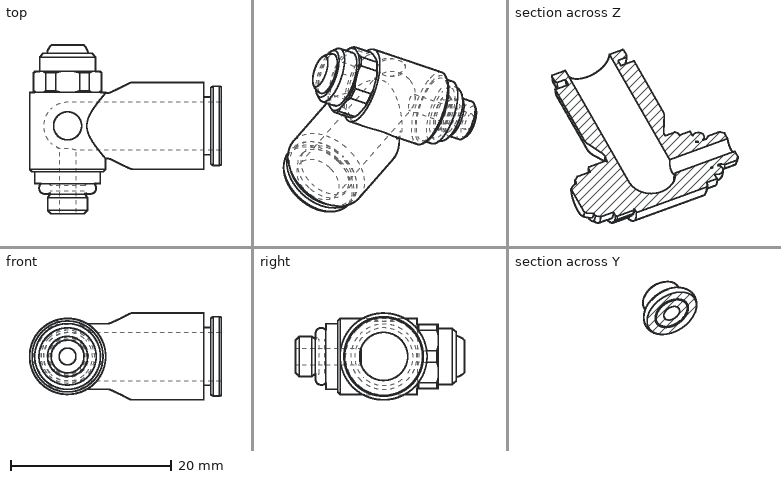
import cadquery as cq
import math

STEM_FRONT = -10.98
BODY_RADIUS = 4.75
BODY_BACK = 4.18
BODY_FRONT = -5.74
BODY_CHAMFER = 0.32
COLLAR_RADIUS = 4.1
COLLAR_FRONT = -7.2

RING_CENTRE = -7.76
RING_SECTION_RADIUS = 0.74
RING_OUTER_RADIUS = 3.57
SPIGOT_RADIUS = 2.5
SPIGOT_CHAMFER = 0.45
SPIGOT_BACK = -8.97
NECK_RADIUS = 2.17
NECK_FRONT = RING_CENTRE - RING_SECTION_RADIUS

HEX_ACROSS_FLATS = 8.0
HEX_CORNER_RADIUS = 4.27
HEX_BACK = 6.78
HEX_CHAMFER = 0.18
CAP_RADIUS = 3.5
CAP_BACK = 9.07
CAP_CHAMFER_LENGTH = 0.54
CAP_CHAMFER_DEPTH = 0.45
TIP_BASE_RADIUS = 2.58
TIP_SHOULDER_RADIUS = 2.5
TIP_SHOULDER = 9.38
TIP_EDGE_RADIUS = 2.25
TIP_EDGE = 9.84
TIP_END_RADIUS = 2.0
TIP_END = 10.08

BRANCH_NECK_RADIUS = 4.1
NECK_END = 5.2
SOCKET_RADIUS = 5.425
SOCKET_START = 7.9
SOCKET_END = 17.0
CONE_BLEND_RADIUS = 1.0
SLEEVE_RADIUS = 3.62
BUTTON_RADIUS = 4.96
BUTTON_START = 17.83
BUTTON_INNER_CHAMFER_LENGTH = 0.3
BUTTON_INNER_CHAMFER_DEPTH = 0.2
BUTTON_OUTER_CHAMFER_LENGTH = 0.25
BUTTON_OUTER_CHAMFER_DEPTH = 0.1
BRANCH_END = 19.18

INLET_RADIUS = 1.05
PASSAGE_RADIUS = 3.0

RECESS_RADIUS = 1.75
RECESS_FLOOR = math.sqrt(BODY_RADIUS**2 - RECESS_RADIUS**2)


def cylinder_y(radius, start, end):
    """Cylinder on the Y axis between two Y positions."""
    return cq.Workplane("XZ", origin=(0, end, 0)).circle(radius).extrude(end - start)


def cylinder_x(radius, start, end):
    """Cylinder on the X axis between two X positions."""
    return cq.Workplane("YZ", origin=(start, 0, 0)).circle(radius).extrude(end - start)


def turned_y(profile):
    """Solid turned on the Y axis from (radius, y) points; the profile closes on the axis."""
    points = [(0, profile[0][1])] + profile + [(0, profile[-1][1])]
    return cq.Workplane("XY").polyline(points).close().revolve(360, (0, 0, 0), (0, 1, 0))


def make_body():
    body = cylinder_y(BODY_RADIUS, BODY_FRONT, BODY_BACK)
    body = body.faces("<Y").chamfer(BODY_CHAMFER)
    return body.union(cylinder_y(COLLAR_RADIUS, COLLAR_FRONT, BODY_FRONT))


def make_spigot():
    return turned_y([
        (SPIGOT_RADIUS - SPIGOT_CHAMFER, STEM_FRONT),
        (SPIGOT_RADIUS, STEM_FRONT + SPIGOT_CHAMFER),
        (SPIGOT_RADIUS, SPIGOT_BACK),
        (NECK_RADIUS, NECK_FRONT),
        (NECK_RADIUS, COLLAR_FRONT),
    ])


def make_ring():
    ring_centre_radius = RING_OUTER_RADIUS - RING_SECTION_RADIUS
    section = cq.Workplane("XY").center(ring_centre_radius, RING_CENTRE).circle(RING_SECTION_RADIUS)
    return section.revolve(360, (-ring_centre_radius, 0, 0), (-ring_centre_radius, 1, 0))


def make_hexagon():
    """Hexagon with two flats level with the XY plane and its corners turned round."""
    across_corners = HEX_ACROSS_FLATS / math.cos(math.pi / 6)
    length = HEX_BACK - BODY_BACK
    prism = cq.Workplane("XZ", origin=(0, HEX_BACK, 0)).polygon(6, across_corners).extrude(length)
    envelope = cylinder_y(HEX_CORNER_RADIUS, BODY_BACK, HEX_BACK).faces("<Y or >Y").chamfer(HEX_CHAMFER)
    return prism.intersect(envelope)


def make_cap():
    cap = turned_y([
        (CAP_RADIUS, HEX_BACK),
        (CAP_RADIUS, CAP_BACK - CAP_CHAMFER_LENGTH),
        (CAP_RADIUS - CAP_CHAMFER_DEPTH, CAP_BACK),
    ])
    tip = turned_y([
        (TIP_BASE_RADIUS, CAP_BACK),
        (TIP_SHOULDER_RADIUS, TIP_SHOULDER),
        (TIP_EDGE_RADIUS, TIP_EDGE),
        (TIP_END_RADIUS, TIP_END),
    ])
    return cap.union(tip)


def make_housing():
    """Neck widening through a cone to the socket, with rounded transitions."""
    cone_angle = math.atan2(SOCKET_RADIUS - BRANCH_NECK_RADIUS, SOCKET_START - NECK_END)
    tangent = CONE_BLEND_RADIUS * math.tan(cone_angle / 2)
    along = tangent * math.cos(cone_angle)
    across = tangent * math.sin(cone_angle)
    return (
        cq.Workplane("XY")
        .lineTo(0, BRANCH_NECK_RADIUS)
        .lineTo(NECK_END - tangent, BRANCH_NECK_RADIUS)
        .radiusArc((NECK_END + along, BRANCH_NECK_RADIUS + across), -CONE_BLEND_RADIUS)
        .lineTo(SOCKET_START - along, SOCKET_RADIUS - across)
        .radiusArc((SOCKET_START + tangent, SOCKET_RADIUS), CONE_BLEND_RADIUS)
        .lineTo(SOCKET_END, SOCKET_RADIUS)
        .lineTo(SOCKET_END, 0)
        .close()
        .revolve(360, (0, 0, 0), (1, 0, 0))
    )


def make_release_button():
    """Sleeve leaving the socket and the flanged button at its end."""
    sleeve = cylinder_x(SLEEVE_RADIUS, SOCKET_END, BUTTON_START)
    button = (
        cq.Workplane("XY")
        .moveTo(BUTTON_START, 0)
        .lineTo(BUTTON_START, BUTTON_RADIUS - BUTTON_INNER_CHAMFER_DEPTH)
        .lineTo(BUTTON_START + BUTTON_INNER_CHAMFER_LENGTH, BUTTON_RADIUS)
        .lineTo(BRANCH_END - BUTTON_OUTER_CHAMFER_LENGTH, BUTTON_RADIUS)
        .lineTo(BRANCH_END, BUTTON_RADIUS - BUTTON_OUTER_CHAMFER_DEPTH)
        .lineTo(BRANCH_END, 0)
        .close()
        .revolve(360, (0, 0, 0), (1, 0, 0))
    )
    return sleeve.union(button)


def make_passages():
    """Inlet along Y meeting a round-ended passage that runs out along X."""
    inlet = cylinder_y(INLET_RADIUS, STEM_FRONT, 0)
    passage = cylinder_x(PASSAGE_RADIUS, 0, BRANCH_END)
    round_end = cq.Workplane("XY").sphere(PASSAGE_RADIUS)
    return inlet.union(passage).union(round_end)


def make_recess():
    depth = BODY_RADIUS - RECESS_FLOOR
    return cq.Workplane("XY", origin=(0, 0, RECESS_FLOOR)).circle(RECESS_RADIUS).extrude(depth)


result = make_body()
for feature in (
    make_spigot(),
    make_ring(),
    make_hexagon(),
    make_cap(),
    make_housing(),
    make_release_button(),
):
    result = result.union(feature)
result = result.cut(make_passages()).cut(make_recess())